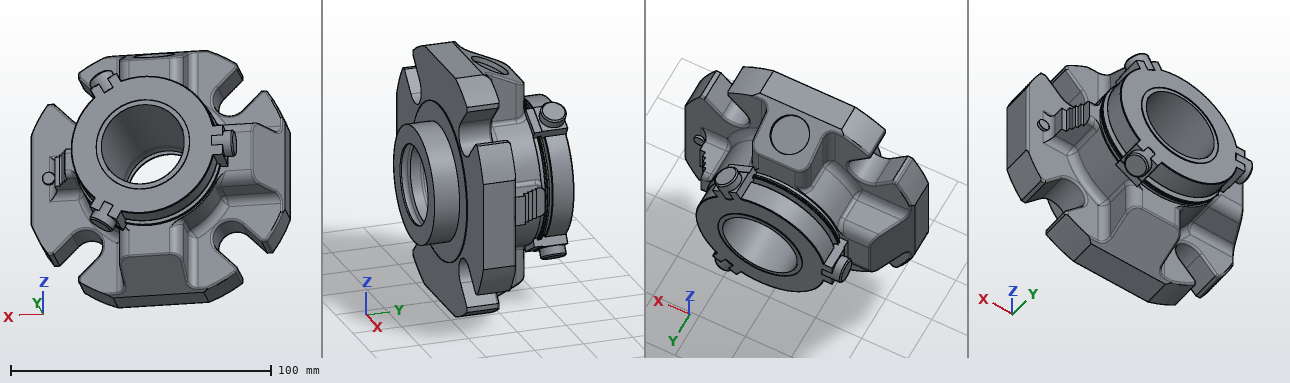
import cadquery as cq
import math


gasket_face_y = 10.2
flange_face_y = 10.6
flange_flat_y = 22.0
flange_top_y = 24.0
boss_top_y = 41.8
plates_start_y = 43.5
plates_end_y = 45.0
plate_thickness = 0.6
collar_start_y = 46.5
collar_end_y = 55.4
sleeve_end_y = 55.8

sleeve_d = 47.1
gasket_d = 63.0
body_d = 57.7
shoulder_d = 56.2
plate_d = 57.7
collar_d = 56.2
sleeve_back_d = 36.5
collar_chamfer = 0.3

bore_d = 32.0
bore_back_d = 32.4
bore_step_start_y = 8.4
bore_step_end_y = 9.5
groove_d = 36.3
groove_shoulder_d = 34.4
groove_start_y = 0.6
groove_deepest_y = 2.2
groove_shoulder_y = 3.5
groove_end_y = 4.2

flange_size = 99.1
flange_circle_r = 52.6
flange_edge_round = 0.9
slot_angles = (45, 135, 225, 315)
slot_width = 13.7
slot_end_distance = 40.1
slot_tip_flat = 30.9

boss_slope = 25.0
boss_half_width = 12.5
boss_corner_r = 4.7
boss_edge_round = 0.8
boss_foot_r = 3.4
boss_seam_r = 2.0
sloped_boss_angles = (90, 180, 270)

port_d = 15.5
port_depth = 2.0
port_centre_y = 31.0

step_half_width = 5.9
step_corner_r = 2.5
step_count = 5
step_first_r = 32.9
step_run = 1.2
step_rise = 2.1
step_first_height = 4.0
step_foot_r = 38.7

button_d = 4.9
button_height = 1.2
button_r = 42.3

clip_angles = (60, 180, 300)
clip_width = 11.9
clip_inner_r = 26.7
clip_outer_r = 31.1
clip_foot_step = 0.3
screw_head_d = 10.0
screw_head_end_r = 35.0
screw_head_chamfer = 0.6
screw_y = sleeve_end_y - screw_head_d / 2

half_size = flange_size / 2
tolerance = 0.01


def disc(diameter, start_y, end_y):
    """Cylinder on the Y axis."""
    plane = cq.Workplane("XZ", origin=(0, start_y, 0))
    return plane.circle(diameter / 2).extrude(start_y - end_y)


def around_axis(shape, angle):
    """Turn a shape made on the +X side about the Y axis, +X towards +Z."""
    return shape.rotate((0, 0, 0), (0, 1, 0), -angle)


def slope_reach(level):
    """Distance of the boss slope from the axis at a level along the axis."""
    return half_size - (level - flange_flat_y) * math.tan(math.radians(boss_slope))


def slot_cutter():
    """Open slot along +X whose mouth ends in flats parallel to the flange sides."""
    half_width = slot_width / 2
    mouth_x = slot_tip_flat * math.sqrt(2) + half_width
    far_x = flange_size
    far_half = half_width + far_x - mouth_x
    return (
        cq.Workplane("XZ", origin=(0, flange_face_y, 0))
        .moveTo(slot_end_distance, half_width)
        .lineTo(mouth_x, half_width)
        .lineTo(far_x, far_half)
        .lineTo(far_x, -far_half)
        .lineTo(mouth_x, -half_width)
        .lineTo(slot_end_distance, -half_width)
        .threePointArc((slot_end_distance - half_width, 0), (slot_end_distance, half_width))
        .close()
        .extrude(flange_face_y - flange_top_y)
    )


def make_flange():
    thickness = flange_top_y - flange_face_y
    middle_y = (flange_top_y + flange_face_y) / 2
    flange = cq.Workplane("XY").box(flange_size, thickness, flange_size).translate((0, middle_y, 0))
    flange = flange.intersect(disc(2 * flange_circle_r, flange_face_y, flange_top_y))
    for boss_angle in sloped_boss_angles:
        flange = flange.cut(around_axis(slope_cutter(), boss_angle))
    return flange


def make_boss(profile, half_width, corner_r):
    """Boss on the +X side: an outline in the X-Y plane, made wide, with round top corners."""
    return (
        cq.Workplane("XY")
        .polyline(profile)
        .close()
        .extrude(half_width, both=True)
        .intersect(rounded_block(half_width, corner_r))
    )


def rounded_block(half_width, corner_r):
    height = boss_top_y - flange_flat_y
    block = cq.Workplane("XY").box(half_size, height, 2 * half_width)
    block = block.edges("|X and >Y").fillet(corner_r)
    return block.translate((half_size / 2, flange_flat_y + height / 2, 0))


def sloped_profile():
    return [
        (0, flange_flat_y),
        (half_size, flange_flat_y),
        (slope_reach(boss_top_y), boss_top_y),
        (0, boss_top_y),
    ]


def slope_cutter():
    """Wedge that carries the boss slope across the flange edge on the +X side."""
    return (
        cq.Workplane("XY")
        .moveTo(half_size, flange_flat_y)
        .lineTo(half_size, flange_top_y)
        .lineTo(slope_reach(flange_top_y), flange_top_y)
        .close()
        .extrude(half_size, both=True)
    )


def stepped_profile():
    points = [(0, flange_flat_y), (0, boss_top_y)]
    radius = step_first_r
    level = boss_top_y
    drop = step_first_height
    for _ in range(step_count - 1):
        points.append((radius, level))
        level -= drop
        points.append((radius, level))
        radius += step_run
        drop = step_rise
    points.append((step_foot_r, level))
    points.append((step_foot_r, flange_flat_y))
    return points


def make_port():
    """Blind hole square to the slope of the +Z boss."""
    slope = math.radians(boss_slope)
    inward = cq.Vector(0, -math.sin(slope), -math.cos(slope))
    rim = cq.Vector(0, port_centre_y, slope_reach(port_centre_y))
    start = rim - inward * port_depth
    return cq.Workplane(cq.Solid.makeCylinder(port_d / 2, 2 * port_depth, start, inward))


def make_clip():
    """Clip on the +X side with its round screw head."""
    foot_r = clip_outer_r - clip_foot_step
    clip = (
        cq.Workplane("XY")
        .moveTo(clip_inner_r, boss_top_y)
        .lineTo(foot_r, boss_top_y)
        .lineTo(foot_r, plates_end_y)
        .lineTo(clip_outer_r, plates_end_y)
        .lineTo(clip_outer_r, collar_end_y)
        .lineTo(clip_inner_r, collar_end_y)
        .close()
        .extrude(clip_width / 2, both=True)
    )
    head = (
        cq.Workplane("YZ", origin=(clip_inner_r, screw_y, 0))
        .circle(screw_head_d / 2)
        .extrude(screw_head_end_r - clip_inner_r)
        .faces(">X").chamfer(screw_head_chamfer)
    )
    return clip.union(head)


def make_bore():
    """Sleeve bore with a seal groove near the mouth and a wider back part."""
    bore_r = bore_d / 2
    back_r = bore_back_d / 2
    bore = (
        cq.Workplane("XY")
        .moveTo(0, 0)
        .lineTo(bore_r, 0)
        .lineTo(bore_r, groove_start_y)
        .threePointArc((groove_d / 2, groove_deepest_y), (groove_shoulder_d / 2, groove_shoulder_y))
        .lineTo(bore_r, groove_end_y)
        .lineTo(bore_r, bore_step_start_y)
        .lineTo(back_r, bore_step_end_y)
        .lineTo(back_r, sleeve_end_y)
        .lineTo(0, sleeve_end_y)
        .close()
    )
    return bore.revolve(360, (0, 0, 0), (0, 1, 0))


def edge_ends(edge):
    return [edge.startPoint(), edge.endPoint()]


def is_foot_edge(edge):
    """True where a boss or the body stands on the flange."""
    on_flange = all(abs(end.y - flange_top_y) < tolerance for end in edge_ends(edge))
    middle = edge.positionAt(0.5)
    return on_flange and math.hypot(middle.x, middle.z) < slope_reach(flange_top_y) - tolerance


def is_seam_edge(edge):
    """True where a boss meets the round body."""
    return all(
        end.y < boss_top_y + tolerance
        and abs(math.hypot(end.x, end.z) - body_d / 2) < tolerance
        for end in edge_ends(edge)
    )


def is_slope_outline(edge):
    """True on the border of a boss slope, above the flange flats."""
    return all(
        end.y > flange_top_y - tolerance
        and abs(max(-end.x, abs(end.z)) - slope_reach(end.y)) < tolerance
        for end in edge_ends(edge)
    )


def is_rim_edge(edge):
    """True on the upper border of the round flange stretches and the slots."""
    middle = edge.positionAt(0.5)
    on_top = all(abs(end.y - flange_top_y) < tolerance for end in edge_ends(edge))
    in_corner = abs(abs(middle.x) - abs(middle.z)) < slot_width
    return on_top and (in_corner or middle.x > half_size - tolerance)


def fillet_where(shape, condition, radius):
    chosen = [edge for edge in shape.edges().vals() if condition(edge)]
    return shape.newObject(chosen).fillet(radius)


def make_gland():
    """Flange, body and the four bosses with their rounded edges."""
    gland = make_flange().union(disc(body_d, flange_face_y, plates_end_y))
    sloped_boss = make_boss(sloped_profile(), boss_half_width, boss_corner_r)
    for boss_angle in sloped_boss_angles:
        gland = gland.union(around_axis(sloped_boss, boss_angle))
    gland = gland.union(make_boss(stepped_profile(), step_half_width, step_corner_r))
    gland = fillet_where(gland, is_foot_edge, boss_foot_r)
    gland = fillet_where(gland, is_seam_edge, boss_seam_r)
    above_bosses = disc(flange_size, boss_top_y, plates_end_y)
    gland = gland.cut(above_bosses.cut(disc(shoulder_d, boss_top_y, plates_end_y)))
    gland = fillet_where(gland, is_slope_outline, boss_edge_round)
    for slot_angle in slot_angles:
        gland = gland.cut(around_axis(slot_cutter(), slot_angle))
    gland = fillet_where(gland, is_rim_edge, flange_edge_round)
    return gland


button = disc(button_d, flange_flat_y, flange_top_y + button_height).translate((button_r, 0, 0))
gland = make_gland().cut(make_port()).union(button)

collar = disc(collar_d, collar_start_y, collar_end_y).edges().chamfer(collar_chamfer)
assembly = (
    gland
    .union(disc(sleeve_d, 0, flange_top_y))
    .union(disc(gasket_d, gasket_face_y, flange_top_y))
    .union(disc(plate_d, plates_start_y, plates_start_y + plate_thickness))
    .union(disc(plate_d, plates_end_y - plate_thickness, plates_end_y))
    .union(disc(sleeve_back_d, flange_top_y, sleeve_end_y))
    .union(collar)
)

clips = around_axis(make_clip(), clip_angles[0])
for clip_angle in clip_angles[1:]:
    clips = clips.union(around_axis(make_clip(), clip_angle))

result = assembly.union(clips).cut(make_bore())